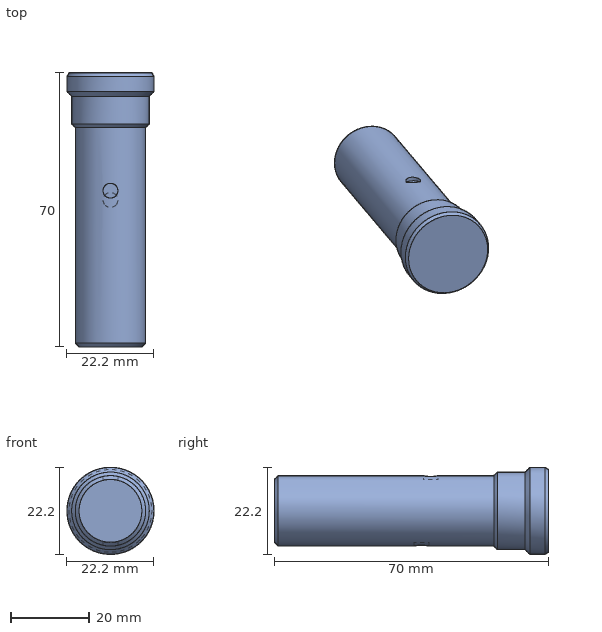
import cadquery as cq
import math

length = 70.0
head_diameter = 22.25
neck_diameter = 19.8
shank_diameter = 18.0

head_length = 6.0
neck_end = 14.0

end_chamfer = 1.0
head_chamfer_angle = 30

hole_diameter = 3.8
hole_depth = 1.0
upper_hole_distance = 30.1
lower_hole_distance = 32.5

head_radius = head_diameter / 2
neck_radius = neck_diameter / 2
shank_radius = shank_diameter / 2

head_face = length / 2
tail_face = -length / 2
head_shoulder = head_face - head_length
neck_shoulder = head_face - neck_end


def stepped_body():
    """Revolve the half profile about Y; both shoulders and the tail end are 45 degree cones."""
    head_chamfer_drop = end_chamfer * math.tan(math.radians(head_chamfer_angle))
    head_step = head_radius - neck_radius
    neck_step = neck_radius - shank_radius
    profile = [
        (0, head_face),
        (head_radius - head_chamfer_drop, head_face),
        (head_radius, head_face - end_chamfer),
        (head_radius, head_shoulder + head_step),
        (neck_radius, head_shoulder),
        (neck_radius, neck_shoulder + neck_step),
        (shank_radius, neck_shoulder),
        (shank_radius, tail_face + end_chamfer),
        (shank_radius - end_chamfer, tail_face),
        (0, tail_face),
    ]
    return cq.Workplane("XY").polyline(profile).close().revolve(360, (0, 0), (0, 1))


def radial_hole(distance, side):
    """Hole cutter; side is +1 for the top of the shank and -1 for the bottom."""
    floor = side * (shank_radius - hole_depth)
    return (
        cq.Workplane("XY", origin=(0, head_face - distance, floor))
        .circle(hole_diameter / 2)
        .extrude(side * 2 * hole_depth)
    )


result = (
    stepped_body()
    .cut(radial_hole(upper_hole_distance, 1))
    .cut(radial_hole(lower_hole_distance, -1))
)